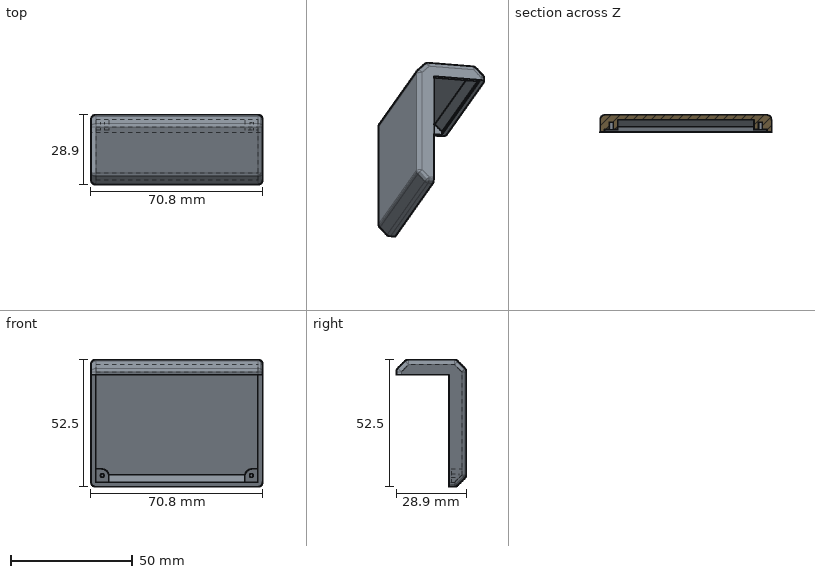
import cadquery as cq
import math

length = 70.82
depth = 28.9
height = 52.5

wall = 2.0
cavity_chamfer = 3.0
outer_chamfer = cavity_chamfer + wall * (2 - math.sqrt(2))

back_depth = 7.2
hood_height = 6.3

boss_size = 5.4
boss_radius = 3.0
boss_recess = 1.0
hole_diameter = 1.5
hole_depth = 3.0
hole_offset = boss_size / 2

rear_y = depth / 2
rim_y = rear_y - back_depth
hood_z = height - hood_height
boss_face_y = rim_y + boss_recess


def chamfered_block(inset, chamfer):
    """Full-depth block, inset from the overall size, with its four lengthwise edges chamfered."""
    return (
        cq.Workplane("XY")
        .box(length - 2 * inset, depth - 2 * inset, height - 2 * inset)
        .translate((0, 0, height / 2))
        .edges("|X")
        .chamfer(chamfer)
    )


def open_quarter():
    """Lower front volume whose removal leaves the L of back and hood."""
    return (
        cq.Workplane("XY", origin=(0, -depth / 2, 0))
        .box(length, depth - back_depth, hood_z, centered=(True, False, False))
    )


def corner_boss(side):
    """Boss from its face to the rear of the block; side is -1 for the -X corner and +1 for the +X corner."""
    centre_x = side * (length / 2 - wall - boss_size / 2)
    free_side = "<X" if side > 0 else ">X"
    return (
        cq.Workplane("XY", origin=(centre_x, boss_face_y, wall))
        .box(boss_size, rear_y - boss_face_y, boss_size, centered=(True, False, False))
        .faces(">Z")
        .edges(free_side)
        .fillet(boss_radius)
    )


def screw_hole(side):
    """Blind pilot hole running back (+Y) from the boss face."""
    centre_x = side * (length / 2 - wall - hole_offset)
    return (
        cq.Workplane("XZ", origin=(centre_x, boss_face_y, wall + hole_offset))
        .circle(hole_diameter / 2)
        .extrude(-hole_depth)
    )


outer = chamfered_block(0, outer_chamfer).edges().fillet(wall)
cavity = chamfered_block(wall, cavity_chamfer)
result = outer.cut(cavity).cut(open_quarter())

for side in (-1, 1):
    boss_inside_shell = corner_boss(side).intersect(outer)
    result = result.union(boss_inside_shell).cut(screw_hole(side))